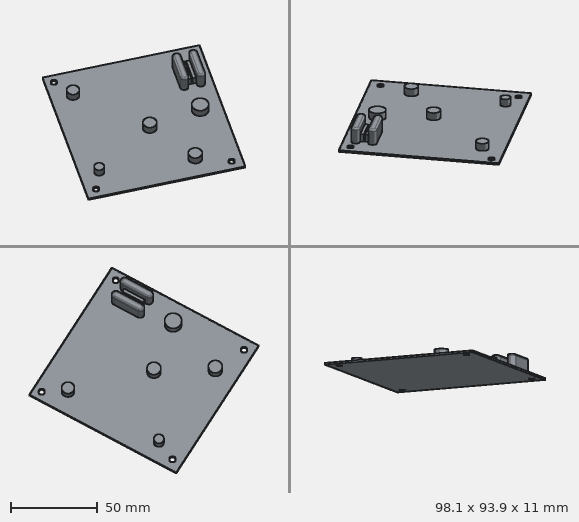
import cadquery as cq

plate_length = 98.1
plate_width = 93.9
plate_thickness = 1.2
total_height = 11.0

hole_upper_diameter = 3.7
hole_lower_diameter = 3.3
hole_step_depth = plate_thickness / 2
hole_centers = [(5.2, 5.3), (92.0, 6.3), (6.0, 88.2), (92.2, 87.3)]

post_height = 4.6
posts = [
    (18.2, 13.15, 7.4),
    (79.8, 11.6, 5.9),
    (54.6, 48.9, 8.0),
    (84.5, 67.7, 8.0),
    (48.8, 80.7, 9.8),
]

pair_x = 21.0
pair_y = 81.6
bar_length = 21.0
bar_width = 4.9
bar_gap = 5.0
bar_height = total_height - plate_thickness
bar_edge_radius = 1.2
pad_length = 13.9
pad_gap = 0.8
pad_width = (bar_gap - pad_gap) / 2
pad_height = post_height


def make_plate():
    plate = cq.Workplane("XY").box(plate_length, plate_width, plate_thickness, centered=False)
    top = plate.faces(">Z").workplane(origin=(0, 0, plate_thickness))
    return top.pushPoints(hole_centers).cboreHole(hole_lower_diameter, hole_upper_diameter, hole_step_depth)


def on_plate(x, y):
    return cq.Workplane("XY", origin=(x, y, plate_thickness))


def make_post(x, y, diameter):
    return on_plate(x, y).circle(diameter / 2).extrude(post_height)


def make_bar(y):
    bar = on_plate(pair_x, y).slot2D(bar_length, bar_width).extrude(bar_height)
    return bar.faces(">Z").edges().fillet(bar_edge_radius)


def make_pad(y):
    return on_plate(pair_x, y).rect(pad_length, pad_width).extrude(pad_height)


result = make_plate()

for post_x, post_y, post_diameter in posts:
    result = result.union(make_post(post_x, post_y, post_diameter))

for side in (-1, 1):
    result = result.union(make_bar(pair_y + side * (bar_gap + bar_width) / 2))
    result = result.union(make_pad(pair_y + side * (pad_gap + pad_width) / 2))